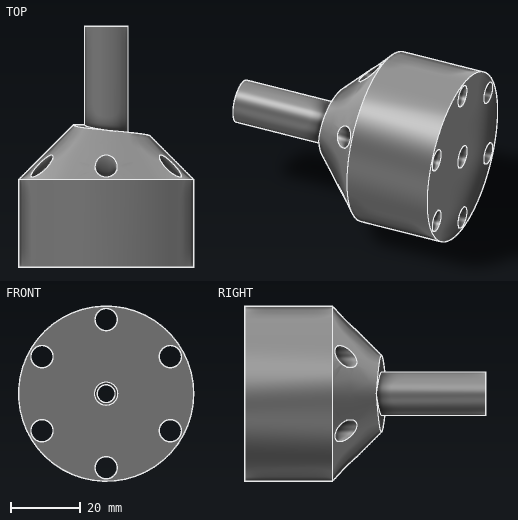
import cadquery as cq

overall_length = 69.85
body_diameter = 50.8
ring_hole_diameter = 6.35
ring_hole_count = 6
ring_radius = 21.45
bore_diameter = 6.7
pilot_diameter = 5.1
bore_step_length = 2.45
ramp_depth_min = 3.15
ramp_depth_max = 6.35

body_radius = body_diameter / 2
body_length = body_radius
shaft_length = body_length
taper_end = overall_length - shaft_length
taper_length = taper_end - body_length
shaft_radius = body_radius - taper_length
ramp_rise = ramp_depth_max - ramp_depth_min
bore_depth = body_length
cutter_inner_radius = shaft_radius / 2


def body_and_taper():
    """Body and 45 degree taper, turned about the Z axis."""
    return (
        cq.Workplane("XZ")
        .moveTo(0, 0)
        .lineTo(body_radius, 0)
        .lineTo(body_radius, body_length)
        .lineTo(shaft_radius, taper_end)
        .lineTo(0, taper_end)
        .close()
        .revolve(360, (0, 0), (0, 1))
    )


def ramp_cutter():
    """Half-turn helical cutter around the axis, rising from the +X side to the -X side."""
    helix = cq.Wire.makeHelix(2 * ramp_rise, ramp_rise, cutter_inner_radius)
    return (
        cq.Workplane("XZ")
        .moveTo(cutter_inner_radius, 0)
        .rect(body_radius, taper_length, centered=False)
        .sweep(cq.Workplane(helix), isFrenet=True)
        .translate((0, 0, taper_end - ramp_depth_max))
    )


def shaft():
    """Plain shaft, rooted inside the taper below the ramps."""
    return (
        cq.Workplane("XY")
        .workplane(offset=body_length)
        .circle(shaft_radius)
        .extrude(overall_length - body_length)
    )


def ring_holes():
    """Through holes parallel to the axis, spaced evenly on a circle."""
    return (
        cq.Workplane("XY")
        .polarArray(ring_radius, 90, 360, ring_hole_count)
        .circle(ring_hole_diameter / 2)
        .extrude(overall_length)
    )


def centre_bore():
    """Through bore on the axis, narrowing in a cone to the pilot at the body's depth."""
    return (
        cq.Workplane("XZ")
        .moveTo(0, 0)
        .lineTo(bore_diameter / 2, 0)
        .lineTo(bore_diameter / 2, bore_depth)
        .lineTo(pilot_diameter / 2, bore_depth + bore_step_length)
        .lineTo(pilot_diameter / 2, overall_length)
        .lineTo(0, overall_length)
        .close()
        .revolve(360, (0, 0), (0, 1))
    )


half_ramp = ramp_cutter()
part = body_and_taper().cut(half_ramp).cut(half_ramp.mirror("XZ"))
part = part.union(shaft())
part = part.cut(ring_holes()).cut(centre_bore())

result = part.rotate((0, 0, 0), (1, 0, 0), -90)